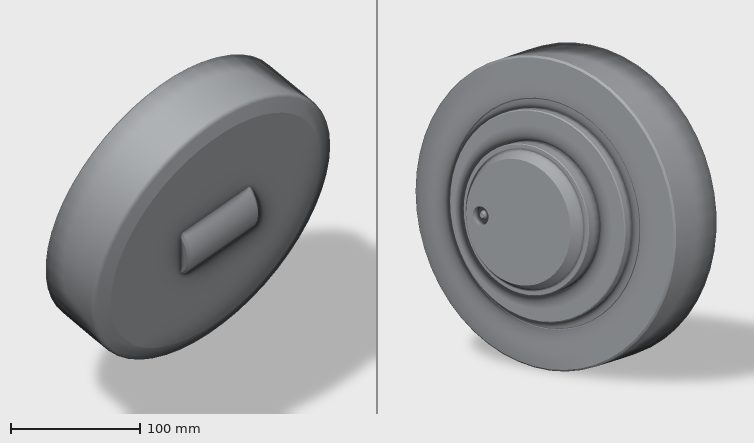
import cadquery as cq
import math


nose_x = 9.5
collar_x = 10.0
flange_x = 24.8
disc_x = 34.8
rim_end_x = 88.2
back_x = 95.0
overall_width = 105.0

tip_dia = 100.0
cone_dia = 111.0
collar_dia = 120.0
flange_dia = 168.0
collar_chamfer = 0.5
flange_chamfer = 0.8
flange_bore_chamfer = 0.5

disc_dia = 250.0
rim_chamfer = 1.5
crown_radius = 1200.0
back_cone_angle = 15.5
shoulder_radius = 3.5

seal_inner_dia = 181.0
seal_outer_dia = 182.0
seal_depth = 1.0
seal_chamfer = 0.5

side_roller_radius = 35.0
side_roller_length = 74.0
side_roller_chamfer = 2.0

recess_y = 36.0
recess_dia = 15.0
recess_depth = 7.5
nipple_base_dia = 4.0
nipple_head_dia = 7.0
nipple_tip_dia = 4.0
nipple_neck_height = 2.0
nipple_head_height = 2.5
nipple_rim_height = 1.2


def revolve_about_x(sketch):
    return sketch.close().revolve(360, (0, 0, 0), (1, 0, 0))


def make_ring(diameter, start_x, end_x, rim_chamfer_size):
    """Disc around the axis with a small chamfer on both rims."""
    return (
        cq.Workplane("YZ", origin=(start_x, 0, 0))
        .circle(diameter / 2)
        .extrude(end_x - start_x)
        .edges()
        .chamfer(rim_chamfer_size)
    )


def make_pin():
    """Conical nose, collar and flange."""
    nose = revolve_about_x(
        cq.Workplane("XY")
        .lineTo(0, tip_dia / 2)
        .lineTo(nose_x, cone_dia / 2)
        .lineTo(collar_x, cone_dia / 2)
        .lineTo(collar_x, 0)
    )
    collar = make_ring(collar_dia, collar_x, flange_x, collar_chamfer)
    flange = make_ring(flange_dia, flange_x, disc_x, flange_chamfer)
    bore_chamfer = revolve_about_x(
        cq.Workplane("XY")
        .moveTo(flange_x, collar_dia / 2)
        .lineTo(flange_x + flange_bore_chamfer, collar_dia / 2)
        .lineTo(flange_x, collar_dia / 2 + flange_bore_chamfer)
    )
    flange = flange.cut(bore_chamfer)
    return nose.union(collar).union(flange)


def make_main_roller():
    """Crowned rim that rounds over into a shallow cone at the back."""
    rim_start_x = disc_x + rim_chamfer
    rim_middle_x = (rim_start_x + rim_end_x) / 2
    half_rim = rim_end_x - rim_middle_x
    crown_rise = crown_radius - math.sqrt(crown_radius**2 - half_rim**2)
    crown_top = disc_dia / 2
    rim_radius = crown_top - crown_rise

    turn = math.radians(90 - back_cone_angle)
    half_turn = turn / 2
    shoulder_y = rim_radius - shoulder_radius
    shoulder_middle = (
        rim_end_x + shoulder_radius * math.sin(half_turn),
        shoulder_y + shoulder_radius * math.cos(half_turn),
    )
    shoulder_end = (
        rim_end_x + shoulder_radius * math.sin(turn),
        shoulder_y + shoulder_radius * math.cos(turn),
    )
    back_radius = shoulder_end[1] - (back_x - shoulder_end[0]) * math.tan(turn)

    return revolve_about_x(
        cq.Workplane("XY")
        .moveTo(disc_x, 0)
        .lineTo(disc_x, rim_radius - rim_chamfer)
        .lineTo(rim_start_x, rim_radius)
        .threePointArc((rim_middle_x, crown_top), (rim_end_x, rim_radius))
        .threePointArc(shoulder_middle, shoulder_end)
        .lineTo(back_x, back_radius)
        .lineTo(back_x, 0)
    )


def make_seal_gap():
    """Narrow ring groove with a chamfer on its outer edge."""
    inner = seal_inner_dia / 2
    outer = seal_outer_dia / 2
    return revolve_about_x(
        cq.Workplane("XY")
        .moveTo(disc_x, inner)
        .lineTo(disc_x + seal_depth, inner)
        .lineTo(disc_x + seal_depth, outer)
        .lineTo(disc_x + seal_chamfer, outer)
        .lineTo(disc_x, outer + seal_chamfer)
    )


def make_side_roller():
    """Roller that stands proud of the back face."""
    axis_x = overall_width - side_roller_radius
    roller = (
        cq.Workplane("XZ", origin=(axis_x, 0, 0))
        .circle(side_roller_radius)
        .extrude(side_roller_length / 2, both=True)
        .edges()
        .chamfer(side_roller_chamfer)
    )
    keep = cq.Workplane("XY").box(
        side_roller_radius, side_roller_length, 2 * side_roller_radius, centered=(False, True, True)
    )
    return roller.intersect(keep.translate((axis_x, 0, 0)))


def make_recess():
    return cq.Workplane("YZ", origin=(0, recess_y, 0)).circle(recess_dia / 2).extrude(recess_depth)


def make_nipple():
    """Grease nipple with a narrow neck and a conical head, standing on the recess floor."""
    head_x = recess_depth - nipple_neck_height
    rim_x = head_x - nipple_rim_height
    tip_x = rim_x - nipple_head_height
    profile = (
        cq.Workplane("XY")
        .moveTo(recess_depth, 0)
        .lineTo(recess_depth, nipple_base_dia / 2)
        .lineTo(head_x, nipple_head_dia / 2)
        .lineTo(rim_x, nipple_head_dia / 2)
        .lineTo(tip_x, nipple_tip_dia / 2)
        .lineTo(tip_x, 0)
    )
    return revolve_about_x(profile).translate((0, recess_y, 0))


result = (
    make_pin()
    .union(make_main_roller())
    .cut(make_seal_gap())
    .union(make_side_roller())
    .cut(make_recess())
    .union(make_nipple())
)